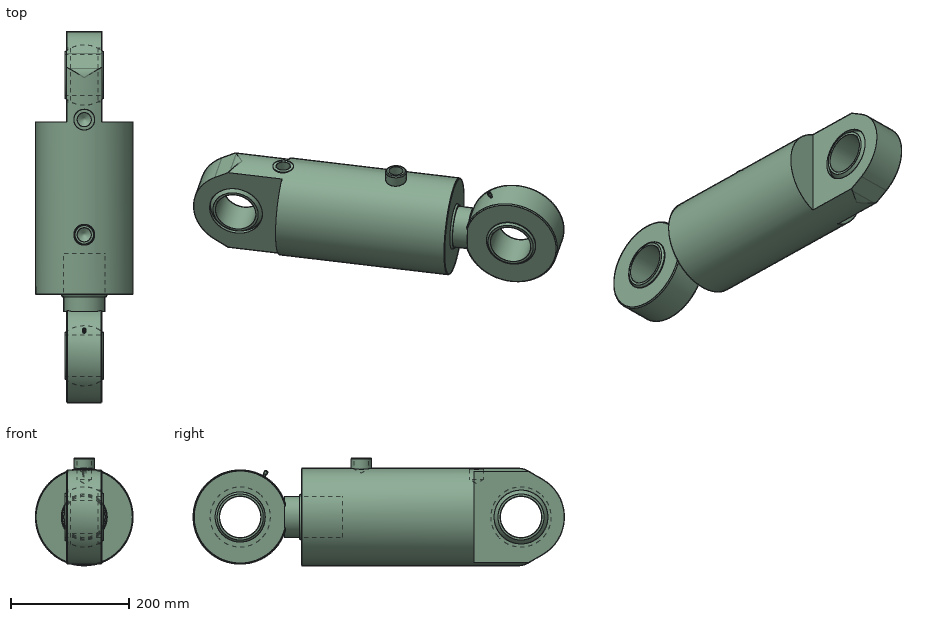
import cadquery as cq
import math


PIN_DISTANCE = 475.0
EYE_RADIUS = 80.0
NOSE_RADIUS = 628 - PIN_DISTANCE - EYE_RADIUS

BARREL_DIA = 165.0
BARREL_RADIUS = BARREL_DIA / 2
BARREL_BACK_Y = -79.0
BARREL_FRONT_Y = -371.0
BARREL_CHAMFER = 1.0
COLLAR_BASE_DIA = 78.0
COLLAR_TIP_DIA = 74.0
COLLAR_LENGTH = 4.0

LUG_WIDTH = 59.5
LUG_SLOPE = math.radians(30)
LUG_BLEND_RADIUS = 30.0
LUG_HOLE_DIA = 91.0

PORT_DIA = 35.0
PORT_HOLE_DIA = 24.0
PORT_DRILL_DEPTH = 19.0
DRILL_POINT_ANGLE = math.radians(118)
PORT_CHAMFER = 2.0
BACK_PORT_Y = -75.5
FRONT_PORT_Y = -270.0
BACK_PORT_TOP = BARREL_RADIUS
FRONT_PORT_TOP = BARREL_RADIUS + 17.5

ROD_DIA = 70.0
ROD_INSERTION = ROD_DIA
ROD_END_Y = -400.0
EYE_WIDTH = LUG_WIDTH
EYE_CHAMFER = 2.0
EYE_HOLE_DIA = 85.0

NIPPLE_TILT = 30
NIPPLE_STEM_DIA = 4.0
NIPPLE_HEAD_DIA = 6.0
NIPPLE_TIP_DIA = 3.0
NIPPLE_STEM_HEIGHT = 4.0
NIPPLE_HEAD_HEIGHT = 5.0
NIPPLE_TIP_HEIGHT = 1.0
NIPPLE_ROOT_DEPTH = 3.0

BUSHING_BORE = 70.0
BUSHING_FACE_DIA = 78.0
BUSHING_WIDTH = 66.0
BALL_RADIUS = math.hypot(BUSHING_WIDTH, BUSHING_FACE_DIA) / 2


def x_cylinder(diameter, width, y=0):
    """Cylinder on a pin axis, centred on the plane X = 0."""
    return cq.Workplane("YZ").center(y, 0).circle(diameter / 2).extrude(width / 2, both=True)


def y_cylinder(diameter, back_y, front_y):
    """Cylinder on the barrel axis from back_y forward to front_y."""
    return cq.Workplane("XZ", origin=(0, back_y, 0)).circle(diameter / 2).extrude(back_y - front_y)


def bushing_seat(mouth_dia, width, y):
    """Cutter for a spherical seat that opens through a round mouth on both sides."""
    mouth_radius = mouth_dia / 2
    side_x = width / 2
    mouth_x = math.sqrt(BALL_RADIUS**2 - mouth_radius**2)
    return (
        cq.Workplane("XY")
        .moveTo(-side_x, 0)
        .lineTo(-side_x, mouth_radius)
        .lineTo(-mouth_x, mouth_radius)
        .threePointArc((0, BALL_RADIUS), (mouth_x, mouth_radius))
        .lineTo(side_x, mouth_radius)
        .lineTo(side_x, 0)
        .close()
        .revolve(360, (0, 0, 0), (1, 0, 0))
        .translate((0, y, 0))
    )


def lug_plate():
    """Plate with a round nose, sloping sides and blends that end flush with the barrel surface."""
    cos_slope = math.cos(LUG_SLOPE)
    sin_slope = math.sin(LUG_SLOPE)
    nose_y = NOSE_RADIUS * sin_slope
    nose_z = NOSE_RADIUS * cos_slope
    slope_z = BARREL_RADIUS - LUG_BLEND_RADIUS * (1 - cos_slope)
    slope_y = nose_y - (slope_z - nose_z) / math.tan(LUG_SLOPE)
    blend_y = slope_y - LUG_BLEND_RADIUS * sin_slope
    blend_mid_y = blend_y + LUG_BLEND_RADIUS * math.sin(LUG_SLOPE / 2)
    blend_mid_z = BARREL_RADIUS - LUG_BLEND_RADIUS * (1 - math.cos(LUG_SLOPE / 2))
    outline = (
        cq.Workplane("YZ")
        .moveTo(BARREL_BACK_Y, -BARREL_RADIUS)
        .lineTo(blend_y, -BARREL_RADIUS)
        .threePointArc((blend_mid_y, -blend_mid_z), (slope_y, -slope_z))
        .lineTo(nose_y, -nose_z)
        .threePointArc((NOSE_RADIUS, 0), (nose_y, nose_z))
        .lineTo(slope_y, slope_z)
        .threePointArc((blend_mid_y, blend_mid_z), (blend_y, BARREL_RADIUS))
        .lineTo(BARREL_BACK_Y, BARREL_RADIUS)
        .close()
    )
    plate = outline.extrude(LUG_WIDTH / 2, both=True)
    return plate.intersect(y_cylinder(BARREL_DIA, NOSE_RADIUS, BARREL_BACK_Y))


def collar():
    """Tapered collar around the rod on the front face of the barrel."""
    return (
        cq.Workplane("XY")
        .moveTo(0, BARREL_FRONT_Y)
        .lineTo(COLLAR_BASE_DIA / 2, BARREL_FRONT_Y)
        .lineTo(COLLAR_TIP_DIA / 2, BARREL_FRONT_Y - COLLAR_LENGTH)
        .lineTo(0, BARREL_FRONT_Y - COLLAR_LENGTH)
        .close()
        .revolve(360, (0, 0, 0), (0, 1, 0))
    )


def port_boss(y, top_z):
    """Round boss that starts on the barrel axis and ends at top_z."""
    return cq.Workplane("XY").center(0, y).circle(PORT_DIA / 2).extrude(top_z)


def port_hole(y, top_z):
    """Cutter for a blind drilled hole with a conical bottom."""
    radius = PORT_HOLE_DIA / 2
    shoulder_z = top_z - PORT_DRILL_DEPTH
    point_z = shoulder_z - radius / math.tan(DRILL_POINT_ANGLE / 2)
    return (
        cq.Workplane("XZ")
        .moveTo(0, point_z)
        .lineTo(radius, shoulder_z)
        .lineTo(radius, top_z)
        .lineTo(0, top_z)
        .close()
        .revolve(360, (0, 0, 0), (0, 1, 0))
        .translate((0, y, 0))
    )


def make_barrel():
    """Barrel, lug, collar and port bosses as one solid."""
    body = y_cylinder(BARREL_DIA, BARREL_BACK_Y, BARREL_FRONT_Y)
    body = body.faces("<Y").edges().chamfer(BARREL_CHAMFER)
    front_boss = port_boss(FRONT_PORT_Y, FRONT_PORT_TOP).faces(">Z").edges().chamfer(PORT_CHAMFER)
    body = (
        body.union(lug_plate())
        .union(collar())
        .union(port_boss(BACK_PORT_Y, BACK_PORT_TOP))
        .union(front_boss)
        .cut(port_hole(BACK_PORT_Y, BACK_PORT_TOP))
        .cut(port_hole(FRONT_PORT_Y, FRONT_PORT_TOP))
        .cut(bushing_seat(LUG_HOLE_DIA, LUG_WIDTH, 0))
    )
    rod_bore = y_cylinder(ROD_DIA, BARREL_FRONT_Y + ROD_INSERTION, BARREL_FRONT_Y - COLLAR_LENGTH)
    return body.cut(rod_bore)


def grease_nipple():
    """Stem with a wider head and a conical tip, pointing out of the rod eye."""
    head_z = EYE_RADIUS + NIPPLE_STEM_HEIGHT
    cone_z = head_z + NIPPLE_HEAD_HEIGHT
    root_z = EYE_RADIUS - NIPPLE_ROOT_DEPTH
    return (
        cq.Workplane("XZ")
        .moveTo(0, root_z)
        .lineTo(NIPPLE_STEM_DIA / 2, root_z)
        .lineTo(NIPPLE_STEM_DIA / 2, head_z)
        .lineTo(NIPPLE_HEAD_DIA / 2, head_z)
        .lineTo(NIPPLE_HEAD_DIA / 2, cone_z)
        .lineTo(NIPPLE_TIP_DIA / 2, cone_z + NIPPLE_TIP_HEIGHT)
        .lineTo(0, cone_z + NIPPLE_TIP_HEIGHT)
        .close()
        .revolve(360, (0, 0, 0), (0, 1, 0))
        .rotate((0, 0, 0), (1, 0, 0), -NIPPLE_TILT)
        .translate((0, -PIN_DISTANCE, 0))
    )


def make_rod():
    """Rod, eye and grease nipple as one solid."""
    eye = x_cylinder(2 * EYE_RADIUS, EYE_WIDTH, -PIN_DISTANCE)
    eye = eye.faces("<X or >X").edges().chamfer(EYE_CHAMFER)
    shaft = y_cylinder(ROD_DIA, BARREL_FRONT_Y + ROD_INSERTION, ROD_END_Y)
    seat = bushing_seat(EYE_HOLE_DIA, EYE_WIDTH, -PIN_DISTANCE)
    return eye.union(shaft).union(grease_nipple()).cut(seat)


def make_bushing(y):
    """Ball with flat sides and a pin bore."""
    side_x = BUSHING_WIDTH / 2
    bore_radius = BUSHING_BORE / 2
    face_radius = BUSHING_FACE_DIA / 2
    return (
        cq.Workplane("XY")
        .moveTo(-side_x, bore_radius)
        .lineTo(-side_x, face_radius)
        .threePointArc((0, BALL_RADIUS), (side_x, face_radius))
        .lineTo(side_x, bore_radius)
        .close()
        .revolve(360, (0, 0, 0), (1, 0, 0))
        .translate((0, y, 0))
    )


barrel = make_barrel()
rod = make_rod()
bushings = [make_bushing(y) for y in (0, -PIN_DISTANCE)]

result = cq.Compound.makeCompound([barrel.val(), rod.val(), *[bushing.val() for bushing in bushings]])